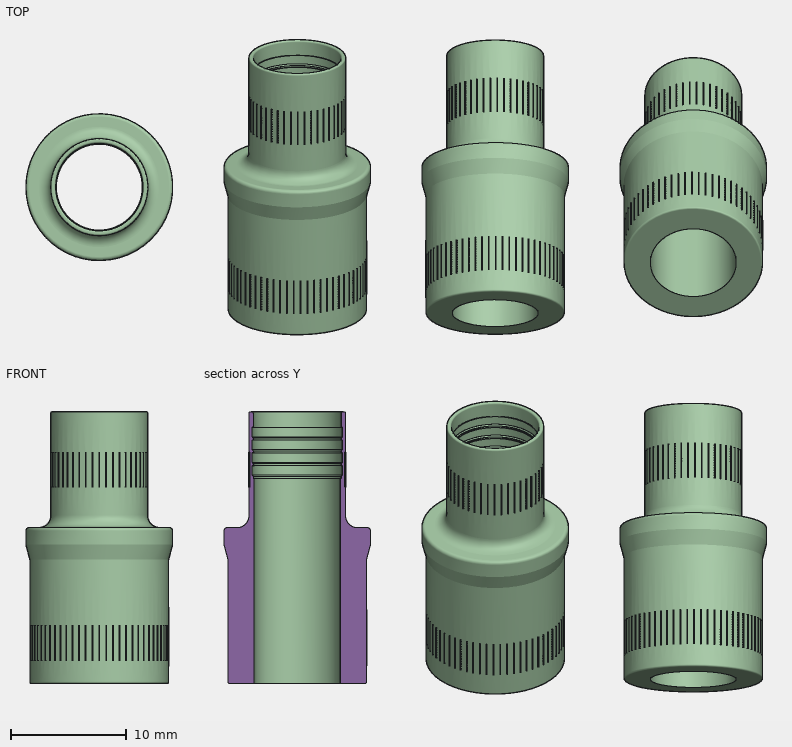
import cadquery as cq
import math

total_height = 23.5
shoulder_height = 13.5
flange_cylinder_bottom = 12.0
taper_angle = 15.0

neck_radius = 4.2
body_radius = 6.0
flange_radius = 6.35
neck_fillet = 1.0
flange_edge_fillet = 0.3
rim_fillet = 0.15
base_fillet = 0.15

rib_radius = 3.78
groove_radius = 3.88
through_radius = 3.71
mouth_fillet = 0.17
first_groove_top = total_height - 1.37
groove_pitch = 1.1
rib_land = 0.17
rib_ramp = 0.12
groove_count = 4

knurl_length = 3.0
knurl_width = 0.06
knurl_depth = 0.1
knurl_pitch = 0.6
neck_knurl_bottom = 16.99
body_knurl_bottom = 2.01


def arc_middle(radius):
    """Distance from each side of a right-angle corner to the middle of its fillet arc."""
    return radius * (1 - math.sqrt(0.5))


def revolve_outer_shape():
    taper_drop = (flange_radius - body_radius) / math.tan(math.radians(taper_angle))
    base = arc_middle(base_fillet)
    rim = arc_middle(rim_fillet)
    corner = arc_middle(flange_edge_fillet)
    cove = arc_middle(neck_fillet)
    profile = (
        cq.Workplane("XZ")
        .moveTo(0, 0)
        .lineTo(-(body_radius - base_fillet), 0)
        .threePointArc((-(body_radius - base), base), (-body_radius, base_fillet))
        .lineTo(-body_radius, flange_cylinder_bottom - taper_drop)
        .lineTo(-flange_radius, flange_cylinder_bottom)
        .lineTo(-flange_radius, shoulder_height - flange_edge_fillet)
        .threePointArc(
            (-(flange_radius - corner), shoulder_height - corner),
            (-(flange_radius - flange_edge_fillet), shoulder_height),
        )
        .lineTo(-(neck_radius + neck_fillet), shoulder_height)
        .threePointArc(
            (-(neck_radius + cove), shoulder_height + cove),
            (-neck_radius, shoulder_height + neck_fillet),
        )
        .lineTo(-neck_radius, total_height - rim_fillet)
        .threePointArc(
            (-(neck_radius - rim), total_height - rim),
            (-(neck_radius - rim_fillet), total_height),
        )
        .lineTo(0, total_height)
        .close()
    )
    return profile.revolve(360, (0, 0, 0), (0, 1, 0))


def revolve_bore():
    mouth = arc_middle(mouth_fillet)
    profile = (
        cq.Workplane("XZ")
        .moveTo(0, total_height)
        .lineTo(-(rib_radius + mouth_fillet), total_height)
        .threePointArc(
            (-(rib_radius + mouth), total_height - mouth),
            (-rib_radius, total_height - mouth_fillet),
        )
    )
    for index in range(groove_count):
        groove_top = first_groove_top - index * groove_pitch
        land_bottom = groove_top - groove_pitch
        land_top = land_bottom + rib_land
        profile = (
            profile.lineTo(-rib_radius, groove_top)
            .lineTo(-groove_radius, groove_top)
            .lineTo(-groove_radius, land_top + rib_ramp)
            .lineTo(-rib_radius, land_top)
        )
    profile = (
        profile.lineTo(-rib_radius, land_bottom)
        .lineTo(-through_radius, land_bottom)
        .lineTo(-through_radius, 0)
        .lineTo(0, 0)
        .close()
    )
    return profile.revolve(360, (0, 0, 0), (0, 1, 0))


def knurl_cutters(radius, bottom):
    """Narrow axial grooves evenly spaced around a cylinder, one of them facing -Y."""
    count = round(2 * math.pi * radius / knurl_pitch)
    cutter = (
        cq.Workplane("XY", origin=(0, -radius, bottom))
        .rect(knurl_width, 2 * knurl_depth)
        .extrude(knurl_length)
        .val()
    )
    return [cutter.rotate((0, 0, 0), (0, 0, 1), index * 360 / count) for index in range(count)]


neck_knurl = knurl_cutters(neck_radius, neck_knurl_bottom)
body_knurl = knurl_cutters(body_radius, body_knurl_bottom)

sleeve = revolve_outer_shape().cut(revolve_bore())
result = cq.Workplane(sleeve.val().cut(*neck_knurl, *body_knurl))